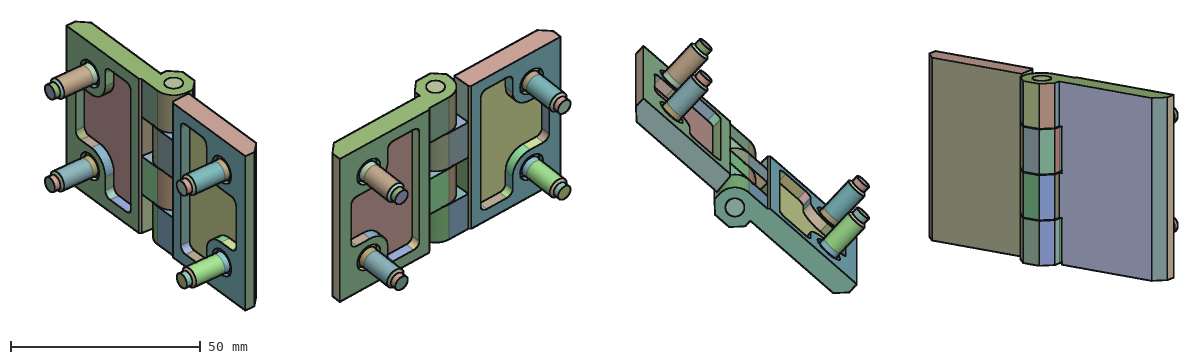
import cadquery as cq
import math


overall_width = 76.0
leaf_height = 50.0
leaf_stagger = 0.2
plate_thickness = 6.0
outer_chamfer = 3.0
relief_depth = 0.5
inner_face_front = 6.7
inner_face_back = 6.4

half_width = overall_width / 2
hinge_middle_z = (leaf_height + leaf_stagger) / 2

pin_diameter = 5.0
knuckle_back = 5.0
knuckle_gap = 0.2
pin_axis_y = plate_thickness
knuckle_radius = pin_axis_y - relief_depth
knuckle_pitch = leaf_height / 2
knuckle_length = (knuckle_pitch - 2 * knuckle_gap) / 2

pocket_depth = 3.0
pocket_margin = 3.95
pocket_inner_x = 10.6
pocket_step_x = 21.5
pocket_waist_half_height = 8.7
pocket_corner_radius = 2.0
pocket_boss_radius = 6.0

stud_span = 56.0
stud_spacing = 30.0
shank_diameter = 5.85
collar_diameter = 6.1
head_diameter = 8.0
tip_diameter = 4.3
socket_depth = 1.7
collar_depth = 0.4
neck_end = 1.4
shank_end = 10.95
tip_start = 11.6
stud_reach = 13.45
stud_x = stud_span / 2


def stud_positions(side):
    """X and Z of the two studs of a leaf; side is -1 for the left leaf, 1 for the right one."""
    middle_z = leaf_height / 2 if side < 0 else leaf_height / 2 + leaf_stagger
    return [(side * stud_x, middle_z + end * stud_spacing / 2) for end in (-1, 1)]


def make_plate():
    """Plate of the left leaf, with a chamfered outer edge and a relieved inner edge."""
    return (
        cq.Workplane("XY")
        .moveTo(-half_width, 0)
        .lineTo(-inner_face_front - relief_depth, 0)
        .lineTo(-inner_face_front, relief_depth)
        .lineTo(-inner_face_back, plate_thickness)
        .lineTo(-half_width + outer_chamfer, plate_thickness)
        .lineTo(-half_width, plate_thickness - outer_chamfer)
        .close()
        .extrude(leaf_height)
    )


def make_knuckle(bottom_z):
    """Knuckle of the left leaf: round towards the other leaf, chamfered at the back."""
    radius = knuckle_radius
    back_y = pin_axis_y + knuckle_back
    arc_reach = radius * math.sqrt(0.5)
    return (
        cq.Workplane("XY", origin=(0, 0, bottom_z))
        .moveTo(-inner_face_front, relief_depth)
        .lineTo(0, relief_depth)
        .threePointArc((arc_reach, pin_axis_y - arc_reach), (radius, pin_axis_y))
        .lineTo(radius, back_y - outer_chamfer)
        .lineTo(radius - outer_chamfer, back_y)
        .lineTo(-radius + outer_chamfer, back_y)
        .lineTo(-radius, back_y - outer_chamfer)
        .lineTo(-radius, plate_thickness)
        .lineTo(-inner_face_back, plate_thickness)
        .close()
        .extrude(knuckle_length)
    )


def make_pocket():
    """T-shaped pocket of the left leaf, with large round corners beside the two studs."""
    middle_z = leaf_height / 2
    tall_half_height = middle_z - pocket_margin
    outer_x = half_width - pocket_margin

    def block(near_x, far_x, half_height):
        return (
            cq.Workplane("XY")
            .box(far_x - near_x, pocket_depth, 2 * half_height, centered=(True, False, True))
            .translate((-(near_x + far_x) / 2, 0, middle_z))
        )

    tall_part = block(pocket_inner_x, pocket_step_x, tall_half_height)
    tall_part = tall_part.edges("|Y").fillet(pocket_corner_radius)
    wide_part = block(pocket_inner_x, outer_x, pocket_waist_half_height)
    wide_part = wide_part.edges("|Y and <X").fillet(pocket_corner_radius)

    step_margin = pocket_corner_radius / 2
    step_half_height = pocket_waist_half_height + step_margin
    step_corners = cq.selectors.BoxSelector(
        (-pocket_step_x - step_margin, 0, middle_z - step_half_height),
        (-pocket_step_x + step_margin, pocket_depth, middle_z + step_half_height),
    )
    return tall_part.union(wide_part).edges("|Y").edges(step_corners).fillet(pocket_boss_radius)


def make_stud_socket(x, z):
    """Round socket in the mounting face that the head of a stud fills."""
    return (
        cq.Workplane("XZ", origin=(x, 0, z))
        .circle(head_diameter / 2)
        .extrude(-socket_depth)
    )


def make_left_leaf():
    leaf = make_plate()
    top_knuckle_z = leaf_height - knuckle_length
    for bottom_z in (top_knuckle_z, top_knuckle_z - knuckle_pitch):
        leaf = leaf.union(make_knuckle(bottom_z))
    pin_hole = (
        cq.Workplane("XY", origin=(0, pin_axis_y, 0))
        .circle(pin_diameter / 2)
        .extrude(leaf_height)
    )
    leaf = leaf.cut(pin_hole).cut(make_pocket())
    for x, z in stud_positions(-1):
        leaf = leaf.cut(make_stud_socket(x, z))
    return leaf


def make_right_leaf():
    """The left leaf turned half a turn about the Y direction, which also raises it by the stagger."""
    middle = cq.Vector(0, 0, hinge_middle_z)
    return make_left_leaf().rotate(middle, middle + cq.Vector(0, 0.75, 0), 180)


def make_pin():
    """Hinge pin, flush with the outermost knuckles."""
    return (
        cq.Workplane("XY", origin=(0, pin_axis_y, leaf_stagger))
        .circle(pin_diameter / 2)
        .extrude(leaf_height - leaf_stagger)
    )


def make_stud(x, z):
    """Stud turned about an axis along Y: conical head, tapered neck, shank, chamfer and tip."""
    return (
        cq.Workplane("XY")
        .moveTo(0, socket_depth)
        .lineTo(head_diameter / 2, socket_depth)
        .lineTo(collar_diameter / 2, collar_depth)
        .lineTo(shank_diameter / 2, -neck_end)
        .lineTo(shank_diameter / 2, -shank_end)
        .lineTo(tip_diameter / 2, -tip_start)
        .lineTo(tip_diameter / 2, -stud_reach)
        .lineTo(0, -stud_reach)
        .close()
        .revolve(360, (0, 0, 0), (0, 1, 0))
        .translate((x, 0, z))
    )


left_leaf = make_left_leaf()
right_leaf = make_right_leaf()
pin = make_pin()
studs = [make_stud(x, z) for side in (-1, 1) for x, z in stud_positions(side)]

result = cq.Compound.makeCompound(
    [left_leaf.val(), right_leaf.val(), pin.val(), *[stud.val() for stud in studs]]
)